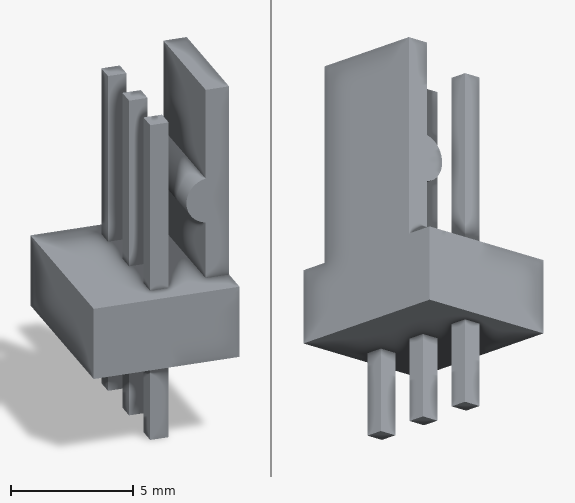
import cadquery as cq

total_height = 15.24

base_width = 7.62
base_depth = 6.35
base_height = 3.17

pin_count = 3
pin_pitch = 2.55
pin_side = 0.81
tail_length = 3.57
pin_tip_drop = 1.02

tab_width = 5.1
tab_thickness = 1.02

bar_radius = 1.0
bar_drop = 5.0
bar_protrusion = 0.84

tab_top = total_height - tail_length
pin_length = total_height - pin_tip_drop
back_y = base_depth / 2
tab_front_y = back_y - tab_thickness
bar_axis_y = tab_front_y - bar_protrusion + bar_radius
bar_axis_z = tab_top - bar_drop


def make_pin(x):
    """Straight square pin running down through the base."""
    return (
        cq.Workplane("XY", origin=(x, 0, -tail_length))
        .rect(pin_side, pin_side)
        .extrude(pin_length)
    )


def make_base_block():
    return cq.Workplane("XY").rect(base_width, base_depth).extrude(base_height)


def make_latch():
    """Upright tab with its round bar; the bar stays within the tab behind its front face."""
    tab = (
        cq.Workplane("XY", origin=(0, back_y - tab_thickness / 2, 0))
        .rect(tab_width, tab_thickness)
        .extrude(tab_top)
    )
    bar = (
        cq.Workplane("YZ", origin=(0, bar_axis_y, bar_axis_z))
        .circle(bar_radius)
        .extrude(tab_width / 2, both=True)
    )
    behind_tab = (
        cq.Workplane("XY", origin=(0, back_y + bar_radius, 0))
        .rect(tab_width, 2 * bar_radius)
        .extrude(tab_top)
    )
    return tab.union(bar.cut(behind_tab))


def make_housing(pins):
    """Base and latch as one body, with a matching hole for every pin."""
    housing = make_base_block().union(make_latch())
    for pin in pins:
        housing = housing.cut(pin)
    return housing


first_pin_x = -pin_pitch * (pin_count - 1) / 2
pins = [make_pin(first_pin_x + i * pin_pitch) for i in range(pin_count)]
housing = make_housing(pins)

result = cq.Compound.makeCompound([housing.val(), *[pin.val() for pin in pins]])